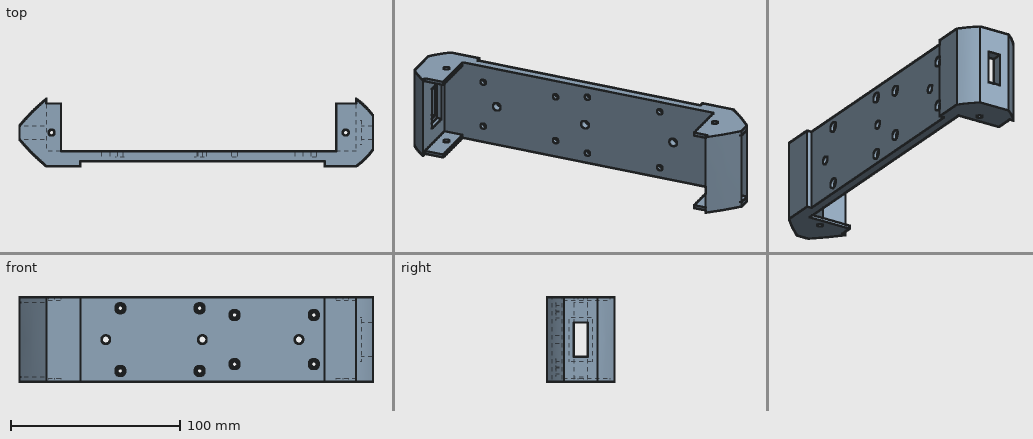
import cadquery as cq

LENGTH = 208.8
DEPTH = 40.0
HEIGHT = 50.0
MID_Y = DEPTH / 2
MID_Z = HEIGHT / 2
LEFT_X = -LENGTH / 2
RIGHT_X = LENGTH / 2

BAR_FRONT_Y = 3.0
BAR_THICKNESS = 6.0
BAR_BACK_Y = BAR_FRONT_Y + BAR_THICKNESS

LEFT_CHAMFER = 16.0
RIGHT_CHAMFER = 10.0
LEFT_HOUSING_WIDTH = 24.7
RIGHT_HOUSING_WIDTH = 21.8
LEFT_FOOT_WIDTH = 36.0
RIGHT_FOOT_WIDTH = 28.6
LEFT_WALL_X = LEFT_X + LEFT_CHAMFER
RIGHT_WALL_X = RIGHT_X - RIGHT_CHAMFER
LEFT_INNER_X = LEFT_X + LEFT_HOUSING_WIDTH
RIGHT_INNER_X = RIGHT_X - RIGHT_HOUSING_WIDTH
PLATE_THICKNESS = 2.0
PLATE_SETBACK = 2.8
PLATE_BACK_Y = DEPTH - PLATE_SETBACK
CAVITY_HEIGHT = HEIGHT - 2 * PLATE_THICKNESS

MID_SAG = 0.6
END_SAG = 0.4

SLOT_WIDTH = DEPTH - 2 * LEFT_CHAMFER
SLOT_HEIGHT = 44.0
WINDOW_WIDTH = 8.0
WINDOW_HEIGHT = 20.0
WINDOW_RECESS_BORDER = 3.0
WINDOW_RECESS_DEPTH = 3.0

SCREW_DIAMETER = 3.4
SCREW_HEAD_DIAMETER = 6.0
SCREW_HEAD_DEPTH = 2.5
SCREW_PITCH_X = 46.8
LEFT_SCREWS_X = -21.4
LEFT_SCREWS_PITCH_Z = 37.0
RIGHT_SCREWS_X = 46.0
RIGHT_SCREWS_PITCH_Z = 29.0
MOUNT_DIAMETER = 4.9
MOUNT_PITCH = 57.0
MOUNT_CENTRE_X = 3.6
LEFT_PLATE_HOLE_INSET = 19.0
RIGHT_PLATE_HOLE_INSET = 16.2
LEFT_PLATE_HOLE_X = LEFT_X + LEFT_PLATE_HOLE_INSET
RIGHT_PLATE_HOLE_X = RIGHT_X - RIGHT_PLATE_HOLE_INSET


def box(x_range, y_centre, width, height):
    """Box spanning x_range, centred on y_centre and on mid-height."""
    x_start, x_end = x_range
    return (
        cq.Workplane("XY")
        .box(x_end - x_start, width, height)
        .translate(((x_start + x_end) / 2, y_centre, MID_Z))
    )


def body_prism():
    """Full-height outline of the bar and both end housings, with stepped outer corners."""
    outline = [
        (LEFT_WALL_X, 0),
        (LEFT_X + LEFT_FOOT_WIDTH, 0),
        (LEFT_X + LEFT_FOOT_WIDTH, BAR_FRONT_Y),
        (RIGHT_X - RIGHT_FOOT_WIDTH, BAR_FRONT_Y),
        (RIGHT_X - RIGHT_FOOT_WIDTH, 0),
        (RIGHT_WALL_X, 0),
        (RIGHT_WALL_X, RIGHT_CHAMFER),
        (RIGHT_X, RIGHT_CHAMFER),
        (RIGHT_X, DEPTH - RIGHT_CHAMFER),
        (RIGHT_WALL_X, DEPTH - RIGHT_CHAMFER),
        (RIGHT_WALL_X, PLATE_BACK_Y),
        (RIGHT_INNER_X, PLATE_BACK_Y),
        (RIGHT_INNER_X, BAR_BACK_Y),
        (LEFT_INNER_X, BAR_BACK_Y),
        (LEFT_INNER_X, PLATE_BACK_Y),
        (LEFT_WALL_X, PLATE_BACK_Y),
        (LEFT_WALL_X, DEPTH - LEFT_CHAMFER),
        (LEFT_X, DEPTH - LEFT_CHAMFER),
        (LEFT_X, LEFT_CHAMFER),
        (LEFT_WALL_X, LEFT_CHAMFER),
    ]
    return cq.Workplane("XY").polyline(outline).close().extrude(HEIGHT)


def crown_section(start, end, corner, z, sag):
    """Wedge outline at height z: two straight legs and an arc bowed outward by sag."""
    chord = cq.Vector(end[0] - start[0], end[1] - start[1], 0)
    outward = chord.cross(cq.Vector(0, 0, 1)).normalized()
    start_point = cq.Vector(start[0], start[1], z)
    end_point = cq.Vector(end[0], end[1], z)
    corner_point = cq.Vector(corner[0], corner[1], z)
    crest = (start_point + end_point) * 0.5 + outward * sag
    return cq.Wire.assembleEdges([
        cq.Edge.makeThreePointArc(start_point, crest, end_point),
        cq.Edge.makeLine(end_point, corner_point),
        cq.Edge.makeLine(corner_point, start_point),
    ])


def crowned_chamfer(start, end, corner):
    """Full-height wedge whose chamfer face swells from its ends toward mid-height."""
    levels = [(0, END_SAG), (MID_Z, MID_SAG), (HEIGHT, END_SAG)]
    sections = [crown_section(start, end, corner, z, sag) for z, sag in levels]
    return cq.Workplane(cq.Solid.makeLoft(sections))


def add_crowned_chamfers(body):
    """Fill the four stepped outer corners, each chamfer running counter-clockwise in plan."""
    left_back_y = DEPTH - LEFT_CHAMFER
    right_back_y = DEPTH - RIGHT_CHAMFER
    chamfers = [
        ((LEFT_X, LEFT_CHAMFER), (LEFT_WALL_X, 0), (LEFT_WALL_X, LEFT_CHAMFER)),
        ((LEFT_WALL_X, DEPTH), (LEFT_X, left_back_y), (LEFT_WALL_X, left_back_y)),
        ((RIGHT_WALL_X, 0), (RIGHT_X, RIGHT_CHAMFER), (RIGHT_WALL_X, RIGHT_CHAMFER)),
        ((RIGHT_X, right_back_y), (RIGHT_WALL_X, DEPTH), (RIGHT_WALL_X, right_back_y)),
    ]
    for start, end, corner in chamfers:
        body = body.union(crowned_chamfer(start, end, corner))
    return body


def housing_cavities():
    """Space between the top and bottom plates of both housings, open inward and to the back."""
    width = DEPTH - BAR_BACK_Y
    y_centre = (DEPTH + BAR_BACK_Y) / 2
    left = box((LEFT_WALL_X, LEFT_INNER_X), y_centre, width, CAVITY_HEIGHT)
    right = box((RIGHT_INNER_X, RIGHT_WALL_X), y_centre, width, CAVITY_HEIGHT)
    return left.union(right)


def wall_openings():
    """Tall slot through the left wall and recessed window through the right wall."""
    slot = box((LEFT_X, LEFT_WALL_X), MID_Y, SLOT_WIDTH, SLOT_HEIGHT)
    window = box((RIGHT_WALL_X, RIGHT_X), MID_Y, WINDOW_WIDTH, WINDOW_HEIGHT)
    recess = box(
        (RIGHT_WALL_X, RIGHT_WALL_X + WINDOW_RECESS_DEPTH),
        MID_Y,
        WINDOW_WIDTH + 2 * WINDOW_RECESS_BORDER,
        WINDOW_HEIGHT + 2 * WINDOW_RECESS_BORDER,
    )
    return slot.union(window).union(recess)


def bar_hole(x, z, diameter, depth):
    """Cylinder of the given depth entering the bar from its front face."""
    return cq.Workplane(cq.Solid.makeCylinder(
        diameter / 2, depth, cq.Vector(x, BAR_FRONT_Y, z), cq.Vector(0, 1, 0)
    ))


def cut_bar_holes(body):
    """Two rectangles of counterbored screw holes and a row of plain mounting holes."""
    screw_groups = [(LEFT_SCREWS_X, LEFT_SCREWS_PITCH_Z), (RIGHT_SCREWS_X, RIGHT_SCREWS_PITCH_Z)]
    for centre_x, pitch_z in screw_groups:
        for side_x in (-1, 1):
            for side_z in (-1, 1):
                x = centre_x + side_x * SCREW_PITCH_X / 2
                z = MID_Z + side_z * pitch_z / 2
                body = body.cut(bar_hole(x, z, SCREW_DIAMETER, BAR_THICKNESS))
                body = body.cut(bar_hole(x, z, SCREW_HEAD_DIAMETER, SCREW_HEAD_DEPTH))
    for step in (-1, 0, 1):
        x = MOUNT_CENTRE_X + step * MOUNT_PITCH
        body = body.cut(bar_hole(x, MID_Z, MOUNT_DIAMETER, BAR_THICKNESS))
    return body


def plate_holes():
    """Vertical screw holes through the top and bottom plates of both housings."""
    return (
        cq.Workplane("XY")
        .pushPoints([(LEFT_PLATE_HOLE_X, MID_Y), (RIGHT_PLATE_HOLE_X, MID_Y)])
        .circle(SCREW_DIAMETER / 2)
        .extrude(HEIGHT)
    )


result = add_crowned_chamfers(body_prism())
result = result.cut(housing_cavities()).cut(wall_openings()).cut(plate_holes())
result = cut_bar_holes(result)